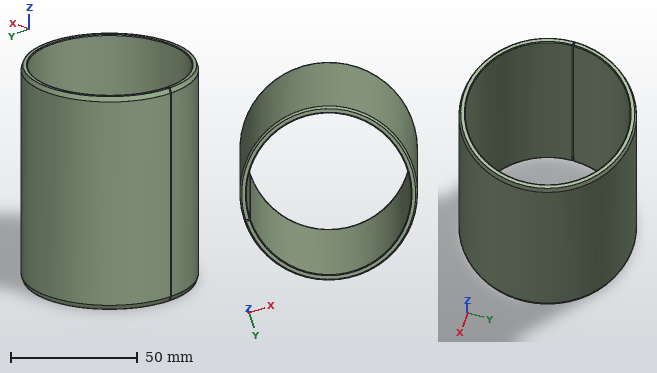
import cadquery as cq
import math

length = 90.0
outer_diameter = 70.0
wall = 2.5
outer_chamfer_height = 2.0
outer_chamfer_angle = 20.0
inner_chamfer = 0.4
slit_angle = 1.0

outer_radius = outer_diameter / 2
inner_radius = outer_radius - wall
outer_chamfer_depth = outer_chamfer_height * math.tan(math.radians(outer_chamfer_angle))


def make_split_sleeve():
    """Revolve the chamfered wall section from the -X side, stopping short to leave the slit on +Y."""
    end_outer_radius = outer_radius - outer_chamfer_depth
    end_inner_radius = inner_radius + inner_chamfer
    section = [
        (-end_inner_radius, 0),
        (-end_outer_radius, 0),
        (-outer_radius, outer_chamfer_height),
        (-outer_radius, length - outer_chamfer_height),
        (-end_outer_radius, length),
        (-end_inner_radius, length),
        (-inner_radius, length - inner_chamfer),
        (-inner_radius, inner_chamfer),
    ]
    profile = cq.Workplane("XZ").polyline(section).close()
    return profile.revolve(360 - slit_angle, (0, 0, 0), (0, 1, 0))


result = make_split_sleeve()